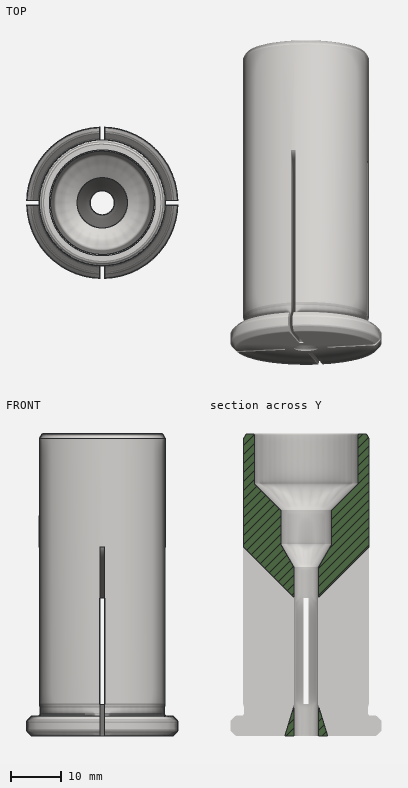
import cadquery as cq
import math

length = 60.0
body_radius = 25.0 / 2

flange_radius = 30.0 / 2
flange_height = 4.0
flange_chamfer = 1.0
edge_round = 0.5

groove_radius = 12.35
groove_root_round = 0.4
groove_wall_bottom = 5.8
groove_lead_angle = 15.0

lead_height = 1.0
lead_angle = 30.0

counterbore_radius = 20.5 / 2
counterbore_depth = 10.0
counterbore_chamfer = 0.25
middle_radius = 10.0 / 2
middle_bottom = 38.0
shank_radius = 4.76 / 2
upper_cone_slope = 45.0
lower_cone_slope = 60.0

slot_count = 4
slot_width = 0.9
slot_top = 37.5
slot_floor_height = 6.3
slot_floor_angle = 17.0
slot_overrun = 1.0


def slope(angle):
    """Rise over run of a line at the given angle in degrees."""
    return math.tan(math.radians(angle))


def make_body():
    """Solid sleeve with the flange, the relief groove and the lead-in chamfer."""
    lead_run = lead_height * slope(lead_angle)
    groove_top = groove_wall_bottom + (body_radius - groove_radius) / slope(groove_lead_angle)
    outline = (
        cq.Workplane("XZ")
        .lineTo(flange_radius - flange_chamfer, 0)
        .lineTo(flange_radius, flange_chamfer)
        .lineTo(flange_radius, flange_height - flange_chamfer)
        .lineTo(flange_radius - flange_chamfer, flange_height)
        .lineTo(groove_radius, flange_height)
        .lineTo(groove_radius, groove_wall_bottom)
        .lineTo(body_radius, groove_top)
        .lineTo(body_radius, length - lead_height)
        .lineTo(body_radius - lead_run, length)
        .lineTo(0, length)
        .close()
    )
    return outline.revolve(360, (0, 0, 0), (0, 1, 0))


def ring_edges(body, radius, height):
    """Select the circular edge of the given radius at the given height."""
    tolerance = 0.01
    box = cq.selectors.BoxSelector(
        (-radius - tolerance, -radius - tolerance, height - tolerance),
        (radius + tolerance, radius + tolerance, height + tolerance),
        boundingbox=True,
    )
    return body.edges("%CIRCLE").edges(box).edges(cq.selectors.RadiusNthSelector(-1))


def round_edges(body):
    """Round the flange corners, the top rim and the root of the groove."""
    chamfer_radius = flange_radius - flange_chamfer
    rim_radius = body_radius - lead_height * slope(lead_angle)
    corners = [
        (chamfer_radius, 0, edge_round),
        (flange_radius, flange_chamfer, edge_round),
        (flange_radius, flange_height - flange_chamfer, edge_round),
        (chamfer_radius, flange_height, edge_round),
        (rim_radius, length, edge_round),
        (groove_radius, flange_height, groove_root_round),
    ]
    for radius, height, size in corners:
        body = ring_edges(body, radius, height).fillet(size)
    return body


def make_bore():
    """Counterbore, middle bore and shank bore, joined by cones."""
    counterbore_bottom = length - counterbore_depth
    middle_top = counterbore_bottom - (counterbore_radius - middle_radius) * slope(upper_cone_slope)
    shank_top = middle_bottom - (middle_radius - shank_radius) * slope(lower_cone_slope)
    outline = (
        cq.Workplane("XZ")
        .lineTo(shank_radius, 0)
        .lineTo(shank_radius, shank_top)
        .lineTo(middle_radius, middle_bottom)
        .lineTo(middle_radius, middle_top)
        .lineTo(counterbore_radius, counterbore_bottom)
        .lineTo(counterbore_radius, length - counterbore_chamfer)
        .lineTo(counterbore_radius + counterbore_chamfer, length)
        .lineTo(0, length)
        .close()
    )
    return outline.revolve(360, (0, 0, 0), (0, 1, 0))


def make_slot():
    """Slot along +X: its end climbs outward at 45 degrees, its floor slopes down to the bottom face."""
    outer = flange_radius + slot_overrun
    ceiling_at_axis = slot_top - body_radius
    floor_outer = shank_radius + slot_floor_height * slope(slot_floor_angle)
    outline = (
        cq.Workplane("XZ")
        .moveTo(0, slot_floor_height)
        .lineTo(shank_radius, slot_floor_height)
        .lineTo(floor_outer, 0)
        .lineTo(outer, 0)
        .lineTo(outer, ceiling_at_axis + outer)
        .lineTo(0, ceiling_at_axis)
        .close()
    )
    return outline.extrude(slot_width / 2, both=True)


result = round_edges(make_body()).cut(make_bore())
for index in range(slot_count):
    slot_direction = index * 360.0 / slot_count
    result = result.cut(make_slot().rotate((0, 0, 0), (0, 0, 1), slot_direction))